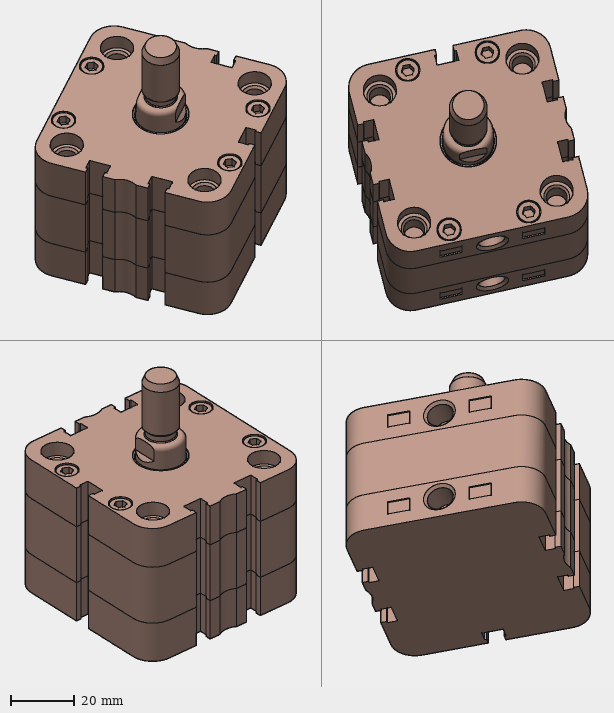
import cadquery as cq


width = 65.5
half_width = width / 2
corner_radius = 8
body_height = 50.0
total_height = 80
lower_cap_height = 14.4
upper_cap_height = 14.6
barrel_height = body_height - lower_cap_height - upper_cap_height
upper_cap_base = body_height - upper_cap_height

slot_offset = 10.5
slot_mouth_width = 5.8
slot_inner_width = 7.0
slot_lip = 2.0
slot_depth = 5.4
flute_width = 7.0
flute_depth = 1.0

mount_offset = 23.2
mount_counterbore_diameter = 10.5
mount_counterbore_depth = 5.0
mount_mouth_diameter = 8.2
mount_hole_diameter = 6.6
mount_hole_depth = 12

screw_x = 28
screw_y = 13.0
screw_recess_diameter = 7.7
screw_head_diameter = 7.0
screw_head_drop = 0.3
screw_gap_depth = 0.6
socket_flats = 3.6
socket_depth = 3.2

port_end_distance = 8
port_mouth_diameter = 10.5
port_diameter = 8.6
port_depth = 9.6
passage_diameter = 3.5
passage_drop = 1.9
passage_depth = 4

label_offset = 13.4
label_end_distance = 7.3
label_width = 7.2
label_height = 5.0
label_depth = 0.5

rod_diameter = 16
collar_height = 8
collar_fillet = 1.6
flats_width = 13.3
flats_start = 2.7
thread_diameter = 12
neck_diameter = 10.0
thread_start = 11.2
neck_flare = 0.3
tip_length = 2.5
wiper_mouth_diameter = 18.0
wiper_seat_diameter = 17.7
wiper_gap_diameter = 16.6
wiper_gap_depth = 0.8


def block(height, base):
    """Rounded square plate of the given height standing on the plane Z = base."""
    plate = cq.Workplane("XY").box(width, width, height, centered=(True, True, False))
    return plate.edges("|Z").fillet(corner_radius).translate((0, 0, base))


def slot_cutter(height, base):
    """T-slot opening through the -Y side, centred on X = 0."""
    mouth = cq.Workplane("XY").box(slot_mouth_width, slot_lip, height, centered=(True, False, False))
    inner = cq.Workplane("XY").box(
        slot_inner_width, slot_depth - slot_lip, height, centered=(True, False, False)
    )
    return mouth.union(inner.translate((0, slot_lip, 0))).translate((0, -half_width, base))


def flute_cutter(height, base):
    """Shallow round-bottomed flute in the middle of the -Y side."""
    return (
        cq.Workplane("XY", origin=(0, -half_width, base))
        .moveTo(-flute_width / 2, 0)
        .threePointArc((0, flute_depth), (flute_width / 2, 0))
        .close()
        .extrude(height)
    )


def profiled_block(height, base):
    """Plate with two T-slots and a flute on each Y side and one T-slot on the +X side."""
    body = block(height, base)
    slot = slot_cutter(height, base)
    flute = flute_cutter(height, base)
    for turn in (0, 180):
        for side in (-1, 1):
            shifted = slot.translate((side * slot_offset, 0, 0))
            body = body.cut(shifted.rotate((0, 0, 0), (0, 0, 1), turn))
        body = body.cut(flute.rotate((0, 0, 0), (0, 0, 1), turn))
    return body.cut(slot.rotate((0, 0, 0), (0, 0, 1), 90))


def port_cutter(z):
    """Blind port with a 45 degree countersunk mouth, entering from the -X side."""
    mouth_radius = port_mouth_diameter / 2
    radius = port_diameter / 2
    chamfer = mouth_radius - radius
    return (
        cq.Workplane("XY")
        .polyline([
            (0, 0), (0, mouth_radius), (chamfer, radius), (port_depth, radius), (port_depth, 0),
        ])
        .close()
        .revolve(360, (0, 0, 0), (1, 0, 0))
        .translate((-half_width, 0, z))
    )


def label_cutters(z):
    """Pair of shallow rectangular recesses in the -X side."""
    plate = cq.Workplane("XY").box(label_depth, label_width, label_height, centered=(False, True, True))
    pair = plate.translate((-half_width, label_offset, z))
    return pair.union(plate.translate((-half_width, -label_offset, z)))


def mount_hole_cutter():
    """Counterbored blind hole with a countersunk bore, measured down from Z = 0."""
    bore_radius = mount_hole_diameter / 2
    mouth_radius = mount_mouth_diameter / 2
    counterbore_radius = mount_counterbore_diameter / 2
    chamfer = mouth_radius - bore_radius
    return (
        cq.Workplane("XZ")
        .polyline([
            (0, 0),
            (counterbore_radius, 0),
            (counterbore_radius, -mount_counterbore_depth),
            (mouth_radius, -mount_counterbore_depth),
            (bore_radius, -mount_counterbore_depth - chamfer),
            (bore_radius, -mount_hole_depth),
            (0, -mount_hole_depth),
        ])
        .close()
        .revolve(360, (0, 0, 0), (0, 1, 0))
    )


def screw_cutter():
    """Space above and around a bevelled screw head plus its hexagon socket, measured down from Z = 0."""
    recess_radius = screw_recess_diameter / 2
    recess = (
        cq.Workplane("XZ")
        .polyline([
            (0, 0),
            (recess_radius, 0),
            (recess_radius, -screw_gap_depth),
            (screw_head_diameter / 2, -screw_head_drop),
            (0, -screw_head_drop),
        ])
        .close()
        .revolve(360, (0, 0, 0), (0, 1, 0))
    )
    socket = cq.Workplane("XY").polygon(6, socket_flats, circumscribed=True).extrude(-socket_depth)
    return recess.union(socket)


def rod_hole_cutter():
    """Through hole for the rod with a shallow chamfered wiper seat and a narrow gap at the top."""
    rod_radius = rod_diameter / 2
    seat_radius = wiper_seat_diameter / 2
    mouth_radius = wiper_mouth_diameter / 2
    gap_radius = wiper_gap_diameter / 2
    chamfer = mouth_radius - seat_radius
    return (
        cq.Workplane("XZ")
        .polyline([
            (0, body_height),
            (mouth_radius, body_height),
            (seat_radius, body_height - chamfer),
            (gap_radius, body_height - chamfer),
            (gap_radius, body_height - wiper_gap_depth),
            (rod_radius, body_height - wiper_gap_depth),
            (rod_radius, upper_cap_base),
            (0, upper_cap_base),
        ])
        .close()
        .revolve(360, (0, 0, 0), (0, 1, 0))
    )


def make_lower_cap():
    cap = profiled_block(lower_cap_height, 0)
    cap = cap.cut(port_cutter(port_end_distance))
    return cap.cut(label_cutters(label_end_distance))


def make_barrel():
    return profiled_block(barrel_height, lower_cap_height)


def make_upper_cap():
    cap = profiled_block(upper_cap_height, upper_cap_base)
    port_z = body_height - port_end_distance
    cap = cap.cut(port_cutter(port_z))
    passage = cq.Workplane("YZ").circle(passage_diameter / 2).extrude(passage_depth)
    cap = cap.cut(passage.translate((port_depth - half_width, 0, port_z - passage_drop)))
    cap = cap.cut(label_cutters(body_height - label_end_distance))
    cap = cap.cut(rod_hole_cutter())
    mount_hole = mount_hole_cutter()
    screw = screw_cutter()
    for x_side in (-1, 1):
        for y_side in (-1, 1):
            cap = cap.cut(mount_hole.translate((x_side * mount_offset, y_side * mount_offset, body_height)))
            cap = cap.cut(screw.translate((x_side * screw_x, y_side * screw_y, body_height)))
    return cap


def wrench_flat_cutter():
    """Removes the +X side of the collar down to a flat that runs out at 45 degrees."""
    flat = flats_width / 2
    runout = rod_diameter / 2 - flat
    bottom = body_height + flats_start
    top = body_height + collar_height
    return (
        cq.Workplane("XZ")
        .polyline([
            (flat, top), (flat, bottom), (flat + runout, bottom - runout), (flat + runout, top),
        ])
        .close()
        .extrude(rod_diameter / 2, both=True)
    )


def make_rod():
    rod_radius = rod_diameter / 2
    neck_radius = neck_diameter / 2
    thread_radius = thread_diameter / 2
    collar_top = body_height + collar_height
    thread_bottom = body_height + thread_start
    collar = (
        cq.Workplane("XY", origin=(0, 0, upper_cap_base))
        .circle(rod_radius)
        .extrude(collar_top - upper_cap_base)
        .faces(">Z").edges().fillet(collar_fillet)
    )
    flat = wrench_flat_cutter()
    collar = collar.cut(flat).cut(flat.mirror("YZ"))
    stud = (
        cq.Workplane("XZ")
        .polyline([
            (0, collar_top),
            (neck_radius + neck_flare, collar_top),
            (neck_radius, collar_top + neck_flare),
            (neck_radius, thread_bottom - (thread_radius - neck_radius)),
            (thread_radius, thread_bottom),
            (thread_radius, total_height - tip_length),
            (neck_radius, total_height),
            (0, total_height),
        ])
        .close()
        .revolve(360, (0, 0, 0), (0, 1, 0))
    )
    return collar.union(stud)


lower_cap = make_lower_cap()
barrel = make_barrel()
upper_cap = make_upper_cap()
piston_rod = make_rod()

result = cq.Compound.makeCompound([
    lower_cap.val(),
    barrel.val(),
    upper_cap.val(),
    piston_rod.val(),
])